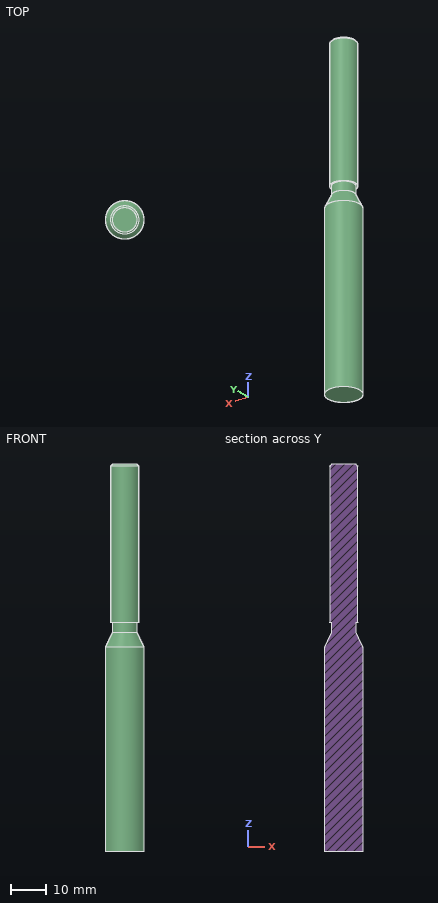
import cadquery as cq

total_length = 110.0
shank_diameter = 11.0
shank_length = 58.1
taper_length = 4.1
neck_diameter = 7.0
neck_length = 2.9
pin_diameter = 8.0
pin_chamfer = 0.5

neck_bottom = shank_length + taper_length
pin_bottom = neck_bottom + neck_length
chamfer_bottom = total_length - pin_chamfer

shank_radius = shank_diameter / 2
neck_radius = neck_diameter / 2
pin_radius = pin_diameter / 2
tip_radius = pin_radius - pin_chamfer

half_section = [
    (0, 0),
    (shank_radius, 0),
    (shank_radius, shank_length),
    (neck_radius, neck_bottom),
    (neck_radius, pin_bottom),
    (pin_radius, pin_bottom),
    (pin_radius, chamfer_bottom),
    (tip_radius, total_length),
    (0, total_length),
]

result = (
    cq.Workplane("XZ")
    .polyline(half_section)
    .close()
    .revolve(360, (0, 0), (0, 1))
)